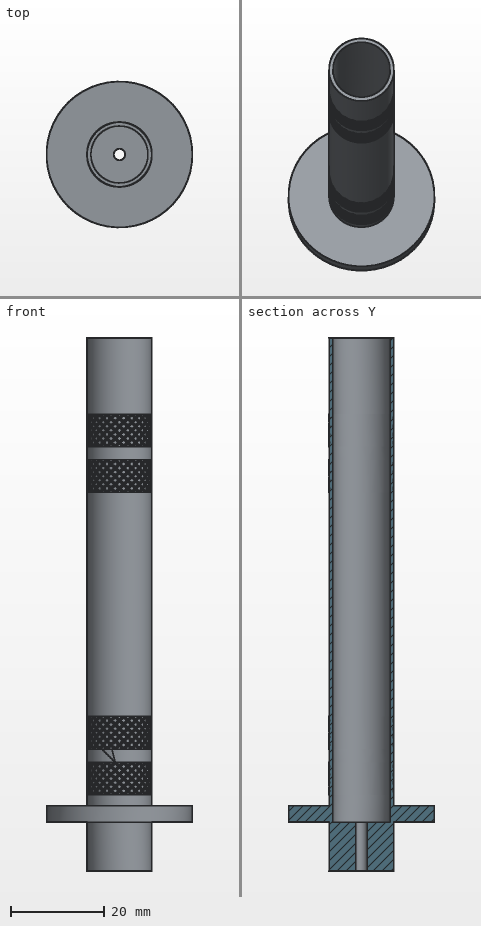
import cadquery as cq
import math

total_height = 114.2
stem_diameter = 13.9
bore_diameter = 12.2
drain_diameter = 2.4

flange_diameter = 31.3
flange_bottom = 10.5
flange_thickness = 3.5

band_height = 7.0
band_gap = 2.9
band_pair_bottoms = [16.3, 81.0]
diamonds_around = 24
knurl_depth = 0.1
flat_share = 0.7
rows_per_band = 8

mark_left = -3.8
mark_right = -1.6
mark_tip = -0.9
mark_depth = 0.2

stem_radius = stem_diameter / 2
root_radius = stem_radius - knurl_depth


def knurl_point(column, row, radius):
    """Point of the knurl grid; diamonds and roots alternate along both directions."""
    angle = math.pi * column / diamonds_around
    height = band_height * row / rows_per_band
    return cq.Vector(radius * math.cos(angle), radius * math.sin(angle), height)


def polygon_face(points):
    return cq.Face.makeFromWires(cq.Wire.makePolygon(points, close=True))


def diamond_side(column, row, side, rises):
    """Left or right side of one diamond: half its flat top and the slopes into the grooves."""
    top_side = knurl_point(column + side * flat_share, row, stem_radius)
    root_side = knurl_point(column + side, row, root_radius)
    top_ends = [knurl_point(column, row + rise * flat_share, stem_radius) for rise in rises]
    root_ends = [knurl_point(column, row + rise, root_radius) for rise in rises]

    if len(rises) == 1:
        top_middle = knurl_point(column, row, stem_radius)
        faces = [polygon_face([top_side, top_middle, top_ends[0]])]
    else:
        faces = [polygon_face([top_side, *top_ends])]
    for top_end, root_end in zip(top_ends, root_ends):
        faces.append(polygon_face([top_side, root_side, root_end]))
        faces.append(polygon_face([top_side, root_end, top_end]))
    return faces


def band_end(row):
    """Flat end of a band, notched where the grooves run out."""
    outline = []
    for column in range(row % 2, 2 * diamonds_around, 2):
        outline.append(knurl_point(column - flat_share, row, stem_radius))
        outline.append(knurl_point(column, row, stem_radius))
        outline.append(knurl_point(column + flat_share, row, stem_radius))
        outline.append(knurl_point(column + 1, row, root_radius))
    return polygon_face(outline)


def knurl_band():
    """Solid disc whose rim is covered in flat-topped diamonds, cut in half at both ends."""
    faces = [band_end(0), band_end(rows_per_band)]
    for row in range(rows_per_band + 1):
        rises = [rise for rise in (-1, 1) if 0 <= row + rise <= rows_per_band]
        for column in range(row % 2, 2 * diamonds_around, 2):
            for side in (-1, 1):
                faces.extend(diamond_side(column, row, side, rises))
    return cq.Workplane(obj=cq.Solid.makeSolid(cq.Shell.makeShell(faces)))


def plain_cylinder(diameter, bottom, top):
    return cq.Workplane("XY").workplane(offset=bottom).circle(diameter / 2).extrude(top - bottom)


def runout_mark(gap_bottom):
    """Shallow triangular recess where a stray knurling groove crosses the gap on the -Y side."""
    gap_top = gap_bottom + band_gap
    outline = [(mark_left, gap_top), (mark_right, gap_top), (mark_tip, gap_bottom)]
    wedge = cq.Workplane("XZ").polyline(outline).close().extrude(stem_diameter)
    core = plain_cylinder(stem_diameter - 2 * mark_depth, gap_bottom, gap_top)
    return wedge.cut(core)


result = plain_cylinder(stem_diameter, 0, total_height)
result = result.union(plain_cylinder(flange_diameter, flange_bottom, flange_bottom + flange_thickness))

result = result.cut(plain_cylinder(bore_diameter, flange_bottom, total_height))

result = result.cut(plain_cylinder(drain_diameter, 0, flange_bottom))

result = result.cut(runout_mark(band_pair_bottoms[0] + band_height))

band_bottoms = []
for pair_bottom in band_pair_bottoms:
    band_bottoms.extend([pair_bottom, pair_bottom + band_height + band_gap])
for bottom in band_bottoms:
    result = result.cut(plain_cylinder(stem_diameter, bottom, bottom + band_height))

band = knurl_band().cut(plain_cylinder(bore_diameter, 0, band_height), clean=False)
bands = [band.translate((0, 0, bottom)).val() for bottom in band_bottoms]
result = result.union(cq.Workplane(obj=cq.Compound.makeCompound(bands)), clean=False).solids()